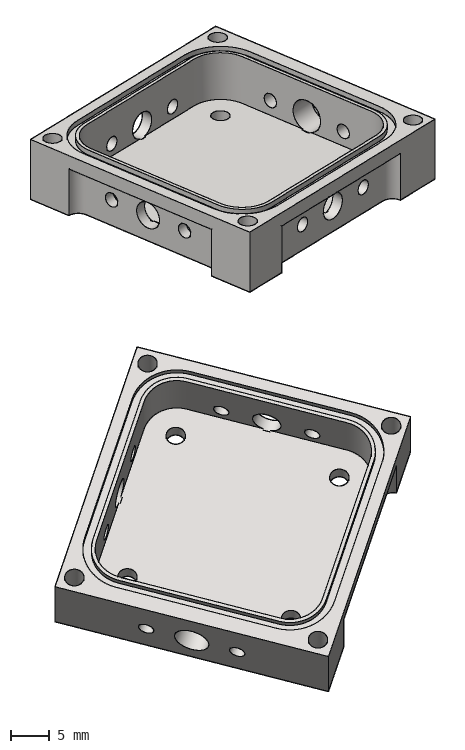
import cadquery as cq


length_x = 36.8
half_x = length_x / 2
front_y = -half_x
back_wall_extra = 0.55
back_y = half_x + back_wall_extra
length_y = back_y - front_y
centre_y = (front_y + back_y) / 2
height = 9.0

floor_thickness = 2.0
cavity_size = 30.4
cavity_corner_radius = 4.4

land_width = 0.5
groove_width = 1.1
groove_depth = 0.75
groove_inner_size = cavity_size + 2 * land_width
groove_outer_size = groove_inner_size + 2 * groove_width
groove_inner_radius = cavity_corner_radius + land_width
groove_outer_radius = groove_inner_radius + groove_width

recess_height = 7.0
recess_depth = 1.6
recess_half_width = 11.95
recess_end_radius = recess_depth

vertical_hole_diameter = 2.5
rim_hole_inset = 2.02
rim_hole_spacing_x = length_x - 2 * rim_hole_inset
rim_hole_spacing_y = length_y - 2 * rim_hole_inset
floor_hole_spacing = 22.0

port_diameter = 3.82
port_height = 3.85
back_port_diameter = 4.6
back_port_height = 4.2
screw_hole_diameter = 2.05
screw_hole_offset = 6.12
port_overrun = 0.2


def rounded_square(size, radius, bottom_z, depth):
    """Square prism about the cavity centre with rounded vertical edges."""
    prism = cq.Workplane("XY").workplane(offset=bottom_z).rect(size, size).extrude(depth)
    return prism.edges("|Z").fillet(radius)


def seal_groove():
    bottom_z = height - groove_depth
    outer = rounded_square(groove_outer_size, groove_outer_radius, bottom_z, groove_depth)
    inner = rounded_square(groove_inner_size, groove_inner_radius, bottom_z, groove_depth)
    return outer.cut(inner)


def front_recess():
    """Recess in the -Y side, with a quarter-round end at each foot."""
    wall_half_width = recess_half_width - recess_end_radius
    wall_y = front_y + recess_depth
    return (
        cq.Workplane("XY")
        .moveTo(-recess_half_width, front_y)
        .lineTo(recess_half_width, front_y)
        .radiusArc((wall_half_width, wall_y), -recess_end_radius)
        .lineTo(-wall_half_width, wall_y)
        .radiusArc((-recess_half_width, front_y), -recess_end_radius)
        .close()
        .extrude(recess_height)
    )


def vertical_holes(spacing_x, spacing_y, middle_y):
    return (
        cq.Workplane("XY", origin=(0, middle_y, 0))
        .rect(spacing_x, spacing_y, forConstruction=True)
        .vertices()
        .circle(vertical_hole_diameter / 2)
        .extrude(height)
    )


def wall_holes(outer_distance, diameter, centre_z):
    """Port and two screw holes running inward through the -Y wall."""
    port_length = outer_distance - cavity_size / 2 + port_overrun
    screw_hole_length = outer_distance - cavity_size / 2
    plane = cq.Plane(origin=(0, -outer_distance, centre_z), xDir=(-1, 0, 0), normal=(0, 1, 0))
    port = cq.Workplane(plane).circle(diameter / 2).extrude(port_length)
    screw_holes = (
        cq.Workplane(plane)
        .pushPoints([(-screw_hole_offset, 0), (screw_hole_offset, 0)])
        .circle(screw_hole_diameter / 2)
        .extrude(screw_hole_length)
    )
    return port.union(screw_holes)


def turned(shape, angle):
    return shape.rotate((0, 0, 0), (0, 0, 1), angle)


block = (
    cq.Workplane("XY")
    .center(0, centre_y)
    .rect(length_x, length_y)
    .extrude(height)
)
cavity = rounded_square(
    cavity_size, cavity_corner_radius, floor_thickness, height - floor_thickness
)

result = block.cut(cavity).cut(seal_groove())
result = result.cut(vertical_holes(rim_hole_spacing_x, rim_hole_spacing_y, centre_y))
result = result.cut(vertical_holes(floor_hole_spacing, floor_hole_spacing, 0))

front_holes = wall_holes(half_x, port_diameter, port_height)
for side_angle in (0, 90, -90):
    result = result.cut(turned(front_recess(), side_angle))
result = result.cut(front_holes)

for side_angle in (90, -90):
    result = result.cut(turned(front_holes, side_angle).translate((0, centre_y, 0)))

result = result.cut(turned(wall_holes(back_y, back_port_diameter, back_port_height), 180))